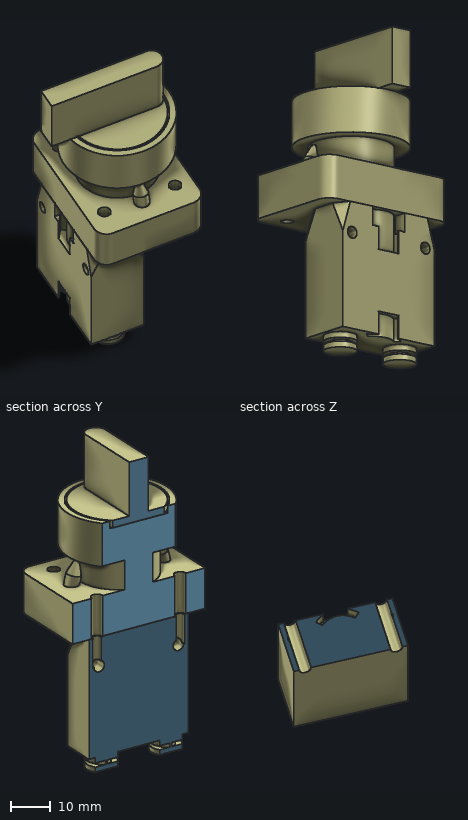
import cadquery as cq
import math

fitting_height = 4.0
block_height = 33.15
plate_thickness = 11.35
neck_height = 8.0
collar_height = 12.0
total_height = 83.5

block_bottom = fitting_height
block_top = block_bottom + block_height
plate_top = block_top + plate_thickness
neck_top = plate_top + neck_height
collar_top = neck_top + collar_height

plate_width = 40.0
plate_depth = 30.0
plate_corner_radius = 3.6
plate_hole_diameter = 3.25
plate_hole_x = 12.5
plate_hole_y = 10.0
neck_diameter = 21.9
collar_diameter = plate_depth
recess_diameter = 26.5
recess_depth = 2.0
pin_diameter = 4.0
pin_tip_diameter = 1.1
pin_shank_length = 2.7
pin_cone_length = 4.0
pin_buried_length = 1.7
pin_x = 13.7
pin_tilt = 14.0

disc_diameter = 25.5
grip_width = 5.9
grip_front_y = -20.0
grip_back_y = disc_diameter / 2

block_width = 30.0
block_depth = 14.95
block_front_y = -15.0
block_center_y = block_front_y + block_depth / 2
corner_cut_x = 2.4
corner_cut_y = 4.1
corner_cut_height = 8.0
cross_hole_diameter = 3.0
cross_hole_x = 11.9
cross_hole_z = 29.1
screw_hole_diameter = 2.4

core_diameter = 12.0
sector_diameter = 15.6
sector_angle = 90.0
narrow_slot_width = 6.4
narrow_slot_depth = 0.4
lower_sector_top = 10.0
upper_sector_bottom = 26.2
upper_sector_top = 32.2
wide_slot_width = 10.35
wide_slot_depth = 3.7

fitting_x = 9.7
fitting_flange_diameter = 8.5
fitting_flange_height = 1.5
fitting_neck_diameter = 5.0


def cylinder(diameter, height, x, y, z):
    """Upright cylinder standing on height z."""
    return cq.Workplane("XY", origin=(x, y, z)).circle(diameter / 2).extrude(height)


def contact_pin(side):
    """Round pin with a conical tip, leaning toward the neck; side is -1 or +1 along X."""
    shoulder = pin_buried_length + pin_shank_length
    half_profile = [
        (0, 0),
        (pin_diameter / 2, 0),
        (pin_diameter / 2, shoulder),
        (pin_tip_diameter / 2, shoulder + pin_cone_length),
        (0, shoulder + pin_cone_length),
    ]
    pin = cq.Workplane("XZ").polyline(half_profile).close().revolve(360, (0, 0), (0, 1))
    pin = pin.translate((0, 0, -pin_buried_length))
    pin = pin.rotate((0, 0, 0), (0, 1, 0), -side * pin_tilt)
    return pin.translate((side * pin_x, 0, plate_top))


def make_head():
    plate = (
        cq.Workplane("XY", origin=(0, 0, block_top))
        .rect(plate_width, plate_depth)
        .extrude(plate_thickness)
        .edges("|Z")
        .fillet(plate_corner_radius)
        .faces(">Z")
        .workplane()
        .rect(2 * plate_hole_x, 2 * plate_hole_y, forConstruction=True)
        .vertices()
        .hole(plate_hole_diameter)
    )
    neck = cylinder(neck_diameter, neck_height, 0, 0, plate_top)
    collar = cylinder(collar_diameter, collar_height, 0, 0, neck_top)
    recess = cylinder(recess_diameter, recess_depth, 0, 0, collar_top - recess_depth)
    head = plate.union(neck).union(collar).cut(recess)
    for side in (-1, 1):
        head = head.union(contact_pin(side))
    return head


def make_knob():
    disc = cylinder(disc_diameter, recess_depth, 0, 0, collar_top - recess_depth)
    round_start_y = grip_back_y - grip_width / 2
    grip = (
        cq.Workplane("XY", origin=(0, 0, collar_top))
        .moveTo(-grip_width / 2, grip_front_y)
        .lineTo(grip_width / 2, grip_front_y)
        .lineTo(grip_width / 2, round_start_y)
        .threePointArc((0, grip_back_y), (-grip_width / 2, round_start_y))
        .close()
        .extrude(total_height - collar_top)
    )
    return disc.union(grip)


def corner_cut(side_x, side_y):
    """Tetrahedron that bevels one top corner of the block; the sides are -1 or +1."""
    x = side_x * block_width / 2
    y = block_center_y + side_y * block_depth / 2
    corner = cq.Vector(x, y, block_top)
    along_x = cq.Vector(x - side_x * corner_cut_x, y, block_top)
    along_y = cq.Vector(x, y - side_y * corner_cut_y, block_top)
    below = cq.Vector(x, y, block_top - corner_cut_height)
    triangles = [
        (corner, along_x, along_y),
        (corner, along_x, below),
        (corner, along_y, below),
        (along_x, along_y, below),
    ]
    faces = [cq.Face.makeFromWires(cq.Wire.makePolygon(t, close=True)) for t in triangles]
    return cq.Workplane(cq.Solid.makeSolid(cq.Shell.makeShell(faces)))


def around_core(pocket, bottom, height):
    """Leaves the central core standing in a pocket."""
    return pocket.cut(cylinder(core_diameter, height, 0, block_center_y, bottom))


def front_slot(width, depth, bottom, height):
    """Straight box cut into the front face."""
    slot = cq.Workplane("XY", origin=(0, block_front_y, bottom))
    return slot.box(width, depth, height, centered=(True, False, False))


def sector_pocket(bottom, top):
    """Ring sector round the core, opened to the front face by a shallow slot."""
    height = top - bottom
    half_angle = math.radians(sector_angle / 2)
    wedge_x = sector_diameter * math.sin(half_angle)
    wedge_y = -sector_diameter * math.cos(half_angle)
    wedge = (
        cq.Workplane("XY", origin=(0, block_center_y, bottom))
        .polyline([(0, 0), (-wedge_x, wedge_y), (wedge_x, wedge_y)])
        .close()
        .extrude(height)
    )
    sector = cylinder(sector_diameter, height, 0, block_center_y, bottom).intersect(wedge)
    opening = front_slot(narrow_slot_width, narrow_slot_depth, bottom, height)
    return around_core(sector.union(opening), bottom, height)


def wide_slot():
    """Slot in the front face at the top of the block, on both sides of the core."""
    height = block_top - upper_sector_top
    slot = front_slot(wide_slot_width, wide_slot_depth, upper_sector_top, height)
    return around_core(slot, upper_sector_top, height)


def hose_fitting(x):
    """Two flanges joined by a thinner neck."""
    fitting = cylinder(fitting_neck_diameter, fitting_height, x, block_center_y, 0)
    for z in (0, fitting_height - fitting_flange_height):
        flange = cylinder(fitting_flange_diameter, fitting_flange_height, x, block_center_y, z)
        fitting = fitting.union(flange)
    return fitting


def make_valve_block():
    block = (
        cq.Workplane("XY", origin=(0, block_center_y, block_bottom))
        .rect(block_width, block_depth)
        .extrude(block_height)
    )
    block = block.cut(sector_pocket(block_bottom, lower_sector_top))
    block = block.cut(sector_pocket(upper_sector_bottom, upper_sector_top))
    block = block.cut(wide_slot())
    for side in (-1, 1):
        for side_y in (-1, 1):
            block = block.cut(corner_cut(side, side_y))
        cross_hole = (
            cq.Workplane("XZ", origin=(side * cross_hole_x, block_front_y, cross_hole_z))
            .circle(cross_hole_diameter / 2)
            .extrude(-block_depth)
        )
        screw_hole = cylinder(
            screw_hole_diameter, block_top - cross_hole_z, side * plate_hole_x, -plate_hole_y, cross_hole_z
        )
        block = block.cut(cross_hole).cut(screw_hole)
        block = block.union(hose_fitting(side * fitting_x))
    return block


head = make_head()
knob = make_knob()
valve_block = make_valve_block()

result = cq.Compound.makeCompound([head.val(), knob.val(), valve_block.val()])